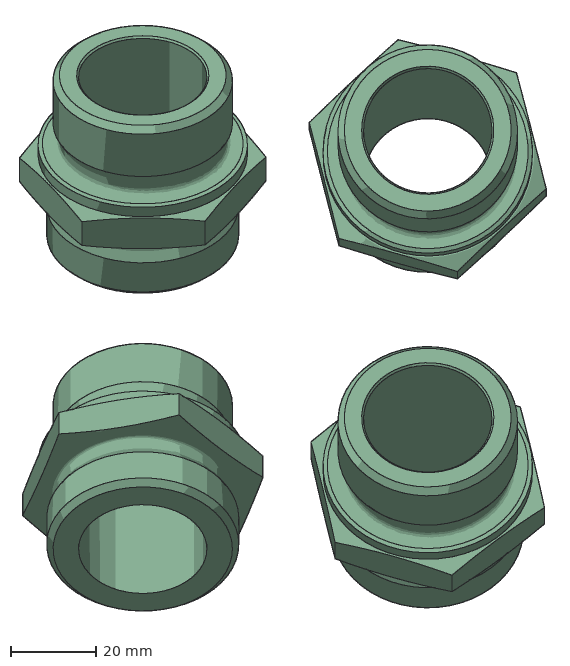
import cadquery as cq
import math

height = 48.0
lower_cone_bottom = 10.0
hex_bottom = 16.0
hex_top = 25.0
collar_top = 28.0
upper_cone_top = 34.1

bore_radius = 30 / 2
lower_radius = 45.0 / 2
upper_radius = 42.0 / 2
lower_neck_radius = 42.0 / 2
upper_neck_radius = 39.0 / 2
collar_radius = 49.0 / 2
collar_ridge_radius = 23.5
hex_across_flats = 50.0
hex_face_radius = 49.9 / 2

thread_chamfer = 1.5
bore_chamfer = 0.45
bevel_slope = math.tan(math.radians(15))
dish_slope = math.tan(math.radians(5))
cone_slope = math.tan(math.radians(60))
cone_fillet = 1.0
hex_root_fillet = 0.9
neck_root_fillet = 1.6


def revolve_profile(points):
    """Turn an (r, z) outline around the Z axis."""
    return cq.Workplane("XZ").polyline(points).close().revolve(360, (0, 0), (0, 1))


def fillet_circles(body, radius, level, fillet):
    """Round the circular edge with the given radius and height."""
    tolerance = 0.05
    reach = radius + tolerance
    box = cq.selectors.BoxSelector(
        (-reach, -reach, level - tolerance),
        (reach, reach, level + tolerance),
        boundingbox=True,
    )
    return body.edges(box).fillet(fillet)


def make_hexagon():
    """Hexagon with a corner at +Y and conical bevels on both faces."""
    corner_radius = hex_across_flats / math.sqrt(3)
    bevel_drop = (corner_radius - hex_face_radius) * bevel_slope
    blank = (
        cq.Workplane("XY")
        .workplane(offset=hex_bottom)
        .polygon(6, 2 * corner_radius)
        .extrude(hex_top - hex_bottom)
        .rotate((0, 0, 0), (0, 0, 1), 30)
    )
    bevel_envelope = revolve_profile([
        (0, hex_bottom),
        (hex_face_radius, hex_bottom),
        (corner_radius, hex_bottom + bevel_drop),
        (corner_radius, hex_top - bevel_drop),
        (hex_face_radius, hex_top),
        (0, hex_top),
    ])
    return blank.intersect(bevel_envelope)


lower_cone_top = lower_cone_bottom + (lower_radius - lower_neck_radius) * cone_slope
upper_cone_bottom = upper_cone_top - (upper_radius - upper_neck_radius) * cone_slope
collar_rim = collar_top - (collar_radius - collar_ridge_radius) * bevel_slope
dish_bottom = collar_top - (collar_ridge_radius - upper_neck_radius) * dish_slope

turned_body = revolve_profile([
    (0, 0),
    (lower_radius - thread_chamfer, 0),
    (lower_radius, thread_chamfer),
    (lower_radius, lower_cone_bottom),
    (lower_neck_radius, lower_cone_top),
    (lower_neck_radius, hex_top),
    (collar_radius, hex_top),
    (collar_radius, collar_rim),
    (collar_ridge_radius, collar_top),
    (upper_neck_radius, dish_bottom),
    (upper_neck_radius, upper_cone_bottom),
    (upper_radius, upper_cone_top),
    (upper_radius, height - thread_chamfer),
    (upper_radius - thread_chamfer, height),
    (0, height),
])

body = turned_body.union(make_hexagon())

body = fillet_circles(body, lower_neck_radius, lower_cone_top, cone_fillet)
body = fillet_circles(body, lower_neck_radius, hex_bottom, hex_root_fillet)
body = fillet_circles(body, upper_neck_radius, upper_cone_bottom, cone_fillet)
body = fillet_circles(body, upper_neck_radius, dish_bottom, neck_root_fillet)

bore = revolve_profile([
    (0, 0),
    (bore_radius, 0),
    (bore_radius, height - bore_chamfer),
    (bore_radius + bore_chamfer, height),
    (0, height),
])

result = body.cut(bore)